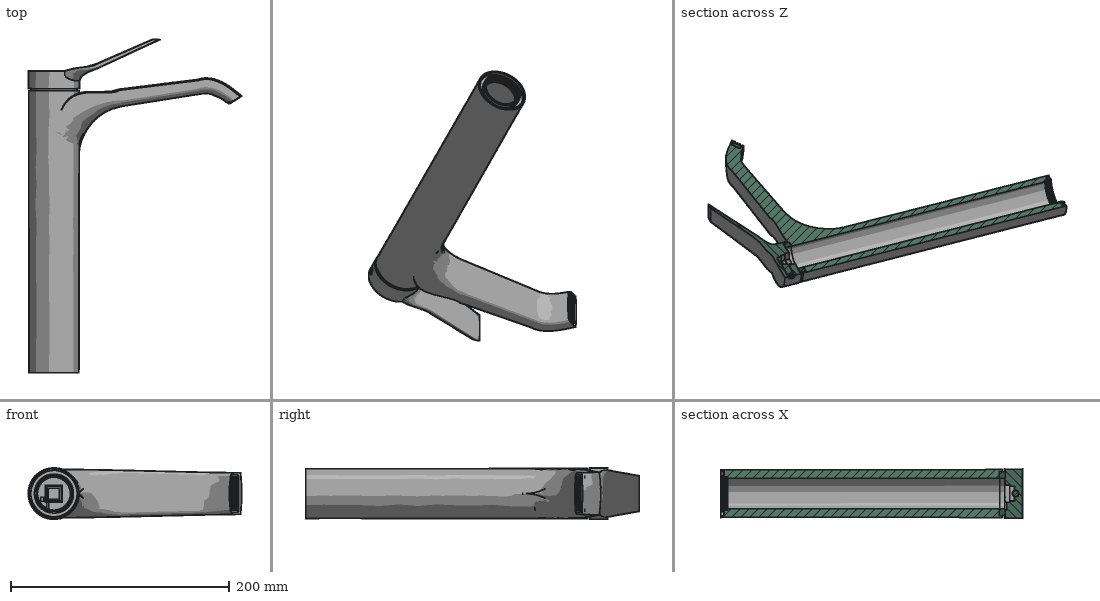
import cadquery as cq
import math

foot_radius = 23.0
column_radius = 23.2
taper_top = 239.0
column_top = 258.3
bore_diameter = 30.2
thread_diameter = 32.7
thread_grooves = 4
thread_pitch = 1.8
thread_groove_width = 1.0
groove_outer_diameter = 42.5
groove_inner_diameter = 35.7
groove_depth = 3.0

ring_diameter = 42.5
ring_gap = 1.8
ring_seat_depth = 3.0

side_half_width = 23.0
side_taper = 0.024
spout_edge_radius = 4.5
spout_crown = 1.2
neck_radius = 45.8
neck_root_depth = 27.5
neck_open_angle = 45
neck_start = 198.5
neck_angles = (0, 25, 48, 65)
neck_edge_radii = (20.8, 18.3, 10.5, 6.7)
spout_rise = 9.0
spout_root_top = (25.5, 255.5)
spout_top_slope = 0.124
bend_bottom = (133.7, 255.0)
bend_top = (131.5, 268.7)
bend_stations = (
    ((144.0, 255.0), (147.5, 268.7)),
    ((153.0, 251.0), (161.2, 261.7)),
)
outlet_bottom = (160.3, 246.0)
outlet_top = (172.0, 253.5)

aerator_length = 34.5
aerator_width = 9.2
aerator_depth = 4.5
aerator_corner_radius = 2.5
aerator_margin = 1.2
cell_rows = 3
cell_columns = 7
cell_length = 3.5
cell_width = 1.8
cell_pitch_long = 4.5
cell_pitch_short = 2.7
cell_depth = 1.5

cap_radius = 23.5
cap_bottom = column_top + ring_gap
cap_top = 276.3
handle_root_half_width = 23.2
handle_taper = 0.071
handle_crown = 0.3
handle_edge_radius = 1.0
handle_root_stations = (
    ((23.2, 265.7), (0, 265.7), 21.5),
    ((26.0, 272.0), (12.2, 277.3), 12.2),
    ((33.3, 276.0), (30.5, 280.3), 3.0),
)
blade_bottom = (41.0, 279.0)
blade_top = (39.5, 283.0)
tip_bottom = (97.0, 305.0)
tip_top = (90.5, 305.5)
socket_sizes = (15.5, 13.0, 10.0)
socket_step_depth = 4.3

slot_size = (1.8, 9.2)
slot_center = (-5.8, -10.5)
pocket_size = (3.0, 3.7)
pocket_center = (-10.7, -5.2)
recess_depth = 1.5

screw_diameter = 5.5
screw_hole_diameter = 6.5
screw_y = 269.5
screw_recess = 1.2
screw_head_x = -cap_radius + screw_recess
screw_tip_x = -socket_sizes[-1] / 2
screw_chamfer = 0.45
hex_size = 3.7
hex_depth = 2.0


def cylinder(diameter, start, end):
    """Cylinder on the Y axis from Y = start to Y = end."""
    base = cq.Workplane("XZ", origin=(0, start, 0))
    return base.circle(diameter / 2).extrude(start - end)


def arm_section(bottom, top, half_width, radius, crown):
    """Wire across an arm: crowned bottom and top, rounded lower corners, straight sides."""
    depth = math.dist(bottom, top)
    up = ((top[0] - bottom[0]) / depth, (top[1] - bottom[1]) / depth, 0)
    plane = cq.Plane(origin=(*bottom, 0), xDir=up, normal=(up[1], -up[0], 0))
    inset = radius * (1 - math.sqrt(0.5))
    section = (
        cq.Workplane(plane)
        .moveTo(depth - crown, -half_width)
        .lineTo(crown + radius, -half_width)
        .threePointArc((crown + inset, inset - half_width), (crown, radius - half_width))
        .threePointArc((0, 0), (crown, half_width - radius))
        .threePointArc((crown + inset, half_width - inset), (crown + radius, half_width))
        .lineTo(depth - crown, half_width)
        .threePointArc((depth, 0), (depth - crown, -half_width))
        .close()
    )
    return section.val()


def spout_section(bottom, top, radius=spout_edge_radius):
    half_width = side_half_width - side_taper * bottom[0]
    return arm_section(bottom, top, half_width, radius, spout_crown)


def loft(sections, ruled=False):
    return cq.Workplane(cq.Solid.makeLoft(sections, ruled))


def neck_station(angle, depth=None):
    """Bottom and top of the neck section at an angle along the neck arc, in degrees.

    Without a depth, the section reaches up to the line of the spout top.
    """
    inward = (-math.cos(math.radians(angle)), math.sin(math.radians(angle)))
    bottom = (
        column_radius + neck_radius * (1 + inward[0]),
        neck_start + neck_radius * inward[1],
    )
    if depth is None:
        top_line_y = spout_root_top[1] + spout_top_slope * (bottom[0] - spout_root_top[0])
        depth = (top_line_y - bottom[1]) / (inward[1] - spout_top_slope * inward[0])
    top = (bottom[0] + depth * inward[0], bottom[1] + depth * inward[1])
    return bottom, top


def make_spout():
    spout_start = neck_station(90 - spout_rise)
    neck_sections = []
    for angle, radius in zip(neck_angles, neck_edge_radii):
        depth = neck_root_depth if angle < neck_open_angle else None
        neck_sections.append(spout_section(*neck_station(angle, depth), radius))
    neck = loft([*neck_sections, spout_section(*spout_start)])
    bend_section = spout_section(bend_bottom, bend_top)
    straight = loft([spout_section(*spout_start), bend_section], ruled=True)
    bend = loft([
        bend_section,
        *[spout_section(bottom, top) for bottom, top in bend_stations],
        spout_section(outlet_bottom, outlet_top),
    ])
    return neck.union(straight).union(bend)


def outlet_plane():
    """Plane on the outlet face, centred on the aerator, local x across the width of the aerator."""
    length = math.dist(outlet_bottom, outlet_top)
    along_x = (outlet_top[0] - outlet_bottom[0]) / length
    along_y = (outlet_top[1] - outlet_bottom[1]) / length
    offset = aerator_margin + aerator_width / 2
    center_x = outlet_bottom[0] + offset * along_x
    center_y = outlet_bottom[1] + offset * along_y
    return cq.Plane(origin=(center_x, center_y, 0), xDir=(along_x, along_y, 0), normal=(along_y, -along_x, 0))


def aerator_block():
    block = cq.Workplane(outlet_plane()).rect(aerator_width, aerator_length).extrude(-aerator_depth)
    normal = outlet_plane().zDir
    return block.edges(cq.selectors.ParallelDirSelector(normal)).fillet(aerator_corner_radius)


def make_aerator():
    cells = (
        cq.Workplane(outlet_plane())
        .rarray(cell_pitch_short, cell_pitch_long, cell_rows, cell_columns)
        .rect(cell_width, cell_length)
        .extrude(-cell_depth)
    )
    return aerator_block().cut(cells)


def make_ring():
    ring = cylinder(ring_diameter, column_top - ring_seat_depth, cap_bottom)
    return ring.cut(cylinder(bore_diameter, 0, cap_bottom))


def make_body():
    column = (
        cq.Workplane("XY")
        .lineTo(foot_radius, 0)
        .lineTo(column_radius, taper_top)
        .lineTo(column_radius, column_top)
        .lineTo(0, column_top)
        .close()
        .revolve(360, (0, 0, 0), (0, 1, 0))
    )
    groove = cylinder(groove_outer_diameter, 0, groove_depth)
    groove = groove.cut(cylinder(groove_inner_diameter, 0, groove_depth))
    ring_seat = cylinder(ring_diameter, column_top - ring_seat_depth, column_top)
    body = (
        column.union(make_spout())
        .cut(cylinder(bore_diameter, 0, column_top))
        .cut(groove)
        .cut(ring_seat)
        .cut(aerator_block())
    )
    for index in range(thread_grooves):
        start = index * thread_pitch
        body = body.cut(cylinder(thread_diameter, start, start + thread_groove_width))
    return body


def handle_section(bottom, top, radius=handle_edge_radius):
    half_width = handle_root_half_width - handle_taper * bottom[0]
    return arm_section(bottom, top, half_width, radius, handle_crown)


def make_handle():
    blade_start = handle_section(blade_bottom, blade_top)
    root_sections = [handle_section(*station) for station in handle_root_stations]
    root = loft([*root_sections, blade_start])
    blade = loft([blade_start, handle_section(tip_bottom, tip_top)], ruled=True)
    return root.union(blade)


def screw_cylinder(diameter, start, end):
    """Cylinder on the axis of the set screw from X = start to X = end."""
    base = cq.Workplane("YZ", origin=(start, screw_y, 0))
    return base.circle(diameter / 2).extrude(end - start)


def recess(size, center, depth):
    """Rectangular recess in the underside of the lever."""
    base = cq.Workplane("XZ", origin=(0, cap_bottom, 0))
    return base.center(*center).rect(*size).extrude(-depth)


def make_lever():
    lever = cylinder(2 * cap_radius, cap_bottom, cap_top).union(make_handle())
    for step, size in enumerate(socket_sizes, start=1):
        lever = lever.cut(recess((size, size), (0, 0), step * socket_step_depth))
    return (
        lever.cut(recess(slot_size, slot_center, recess_depth))
        .cut(recess(pocket_size, pocket_center, recess_depth))
        .cut(screw_cylinder(screw_hole_diameter, -cap_radius, screw_head_x))
        .cut(screw_cylinder(screw_diameter, screw_head_x, screw_tip_x))
    )


def make_screw():
    screw = screw_cylinder(screw_diameter, screw_head_x, screw_tip_x).faces("<X").chamfer(screw_chamfer)
    hexagon = cq.Workplane("YZ", origin=(screw_head_x, screw_y, 0)).polygon(6, hex_size)
    return screw.cut(hexagon.extrude(hex_depth))


body = make_body()
lever = make_lever()
ring = make_ring()
aerator = make_aerator()
screw = make_screw()
bodies = [body, lever, ring, aerator, screw]
result = cq.Compound.makeCompound([part.solids().val() for part in bodies])